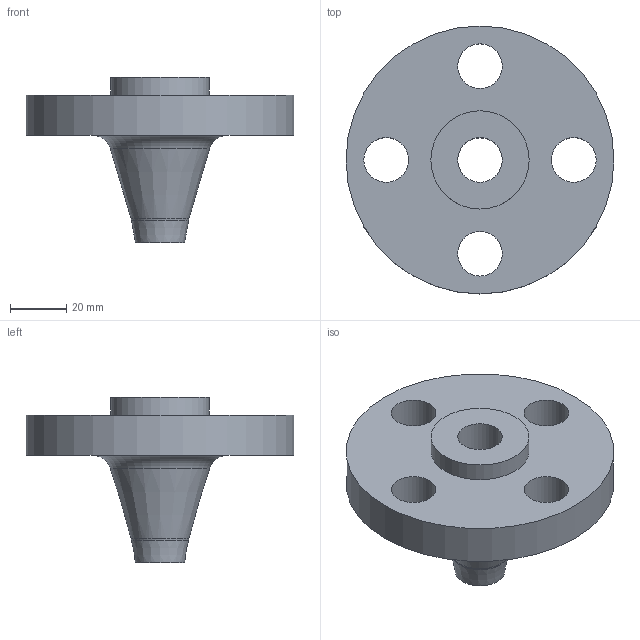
import cadquery as cq
import math

flange_diameter = 95.25
flange_thickness = 14.29
raised_face_diameter = 34.93
raised_face_height = 6.35

bolt_circle_diameter = 66.68
bolt_hole_diameter = 15.88
bolt_hole_count = 4

overall_height = 58.74
bore_diameter = 15.88
hub_base_diameter = 38.1
weld_end_diameter = 17.5
weld_end_length = 8.3
weld_end_angle = 10.0
hub_fillet_radius = 6.35
taper_blend_radius = 5.0

flange_top_z = -raised_face_height
flange_bottom_z = flange_top_z - flange_thickness
hub_end_z = -overall_height
taper_change_z = hub_end_z + weld_end_length
taper_change_radius = weld_end_diameter / 2 + weld_end_length * math.tan(math.radians(weld_end_angle))


def fillet_hub_edge(body, edge_radius, edge_z, fillet_radius):
    """Round the circular edge at edge_z that lies within edge_radius of the axis."""
    margin = 0.1
    reach = edge_radius + margin
    region = cq.selectors.BoxSelector(
        (-reach, -reach, edge_z - margin),
        (reach, reach, edge_z + margin),
        boundingbox=True,
    )
    return body.edges(region).fillet(fillet_radius)


def make_body():
    """Solid of revolution: raised face, plate, hub cone and weld end."""
    profile = [
        (0, 0),
        (raised_face_diameter / 2, 0),
        (raised_face_diameter / 2, flange_top_z),
        (flange_diameter / 2, flange_top_z),
        (flange_diameter / 2, flange_bottom_z),
        (hub_base_diameter / 2, flange_bottom_z),
        (taper_change_radius, taper_change_z),
        (weld_end_diameter / 2, hub_end_z),
        (0, hub_end_z),
    ]
    body = cq.Workplane("XZ").polyline(profile).close().revolve(360, (0, 0, 0), (0, 1, 0))
    body = fillet_hub_edge(body, hub_base_diameter / 2, flange_bottom_z, hub_fillet_radius)
    return fillet_hub_edge(body, taper_change_radius, taper_change_z, taper_blend_radius)


def cut_bore(body):
    cutter = cq.Workplane("XY").circle(bore_diameter / 2).extrude(-overall_height)
    return body.cut(cutter)


def cut_bolt_holes(body):
    cutter = (
        cq.Workplane("XY")
        .workplane(offset=flange_top_z)
        .polarArray(bolt_circle_diameter / 2, 0, 360, bolt_hole_count)
        .circle(bolt_hole_diameter / 2)
        .extrude(-flange_thickness)
    )
    return body.cut(cutter)


result = cut_bolt_holes(cut_bore(make_body()))